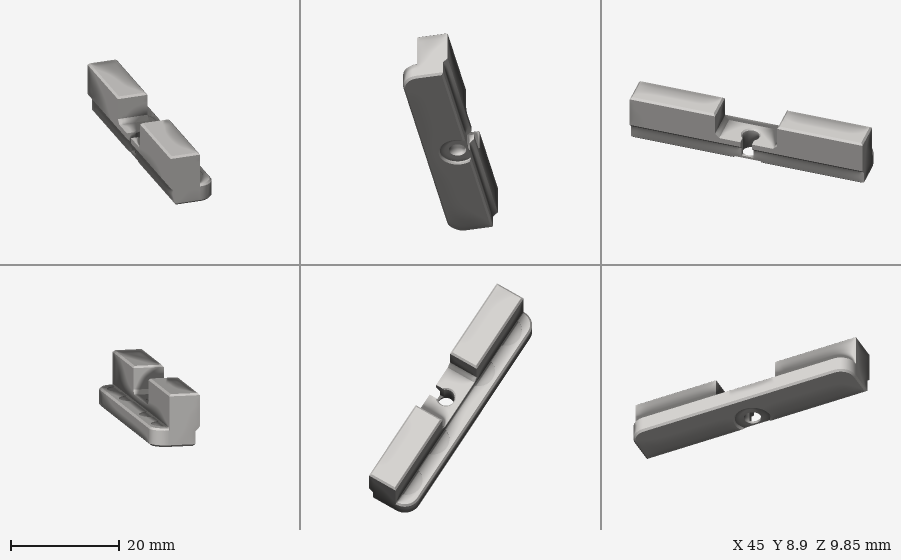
import cadquery as cq

length = 45.0
total_depth = 8.9
total_height = 9.85
block_depth = 5.75
edge_chamfer = 0.35
root_chamfer = 0.15

flange_height = 3.45
flange_corner_radius = 3.0

undercut_depth = 0.85
undercut_top = 3.6

notch_width = 12.0
notch_floor = 4.7
notch_corner = 0.8

hole_diameter = 3.2
hole_y = 2.85
hole_chamfer = 0.25
slot_width = 2.25
slot_floor = 1.05
counterbore_diameter = 6.5
counterbore_depth = 0.55

recess_diameter = 6.0
recess_depth = 0.15
recess_y = 4.95
recess_offsets = (8.0, 17.45)


def make_flange():
    """Low plate with rounded back corners, reaching forward to the undercut face."""
    depth = total_depth - undercut_depth
    plate = (
        cq.Workplane("XY")
        .center(0, undercut_depth + depth / 2)
        .rect(length, depth)
        .extrude(flange_height)
        .edges("|Z and >Y")
        .fillet(flange_corner_radius)
    )
    plate = plate.faces("<Z").chamfer(edge_chamfer)
    return plate.faces(">Z").chamfer(edge_chamfer)


def make_block():
    """Notched block; its lower edges line up with the bottom chamfer of the flange."""
    half = length / 2
    half_notch = notch_width / 2
    block = (
        cq.Workplane("XZ")
        .moveTo(-half, edge_chamfer)
        .lineTo(half, edge_chamfer)
        .lineTo(half, total_height)
        .lineTo(half_notch, total_height)
        .lineTo(half_notch, notch_floor + notch_corner)
        .lineTo(half_notch - notch_corner, notch_floor)
        .lineTo(-half_notch + notch_corner, notch_floor)
        .lineTo(-half_notch, notch_floor + notch_corner)
        .lineTo(-half_notch, total_height)
        .lineTo(-half, total_height)
        .close()
        .extrude(-block_depth)
    )
    block = block.faces(">Z").chamfer(edge_chamfer)
    undercut = (
        cq.Workplane("YZ")
        .moveTo(0, 0)
        .lineTo(undercut_depth, 0)
        .lineTo(undercut_depth, undercut_top - undercut_depth)
        .lineTo(0, undercut_top)
        .close()
        .extrude(half, both=True)
    )
    return block.cut(undercut)


def make_root_bevel():
    """Triangular strip along the foot of the back wall, reaching down to the recess floors."""
    floor = flange_height - recess_depth
    leg = root_chamfer + recess_depth
    return (
        cq.Workplane("YZ")
        .moveTo(block_depth, floor)
        .lineTo(block_depth + leg, floor)
        .lineTo(block_depth, floor + leg)
        .close()
        .extrude(length / 2 - edge_chamfer, both=True)
    )


def make_recesses():
    """Round recesses trimmed to the part behind the block."""
    centres = [(side * x, recess_y) for x in recess_offsets for side in (-1, 1)]
    discs = (
        cq.Workplane("XY")
        .workplane(offset=flange_height - recess_depth)
        .pushPoints(centres)
        .circle(recess_diameter / 2)
        .extrude(recess_depth)
    )
    behind_block = (
        cq.Workplane("XY")
        .box(length, total_depth - block_depth, total_height, centered=(True, False, False))
        .translate((0, block_depth, 0))
    )
    return discs.intersect(behind_block)


def make_screw_cut():
    """Revolved screw hole with chamfered mouths, plus the open slot to the front."""
    hole_radius = hole_diameter / 2
    bore_radius = counterbore_diameter / 2
    hole = (
        cq.Workplane("XZ")
        .moveTo(0, 0)
        .lineTo(bore_radius + hole_chamfer, 0)
        .lineTo(bore_radius, hole_chamfer)
        .lineTo(bore_radius, counterbore_depth)
        .lineTo(hole_radius, counterbore_depth)
        .lineTo(hole_radius, notch_floor - hole_chamfer)
        .lineTo(hole_radius + hole_chamfer, notch_floor)
        .lineTo(0, notch_floor)
        .close()
        .revolve(360, (0, 0, 0), (0, 1, 0))
        .translate((0, hole_y, 0))
    )
    slot = (
        cq.Workplane("XY")
        .box(slot_width, hole_y, notch_floor - slot_floor, centered=(True, False, False))
        .translate((0, 0, slot_floor))
    )
    return hole.union(slot)


body = make_flange().union(make_block())
body = body.cut(make_recesses()).union(make_root_bevel())
result = body.cut(make_screw_cut())